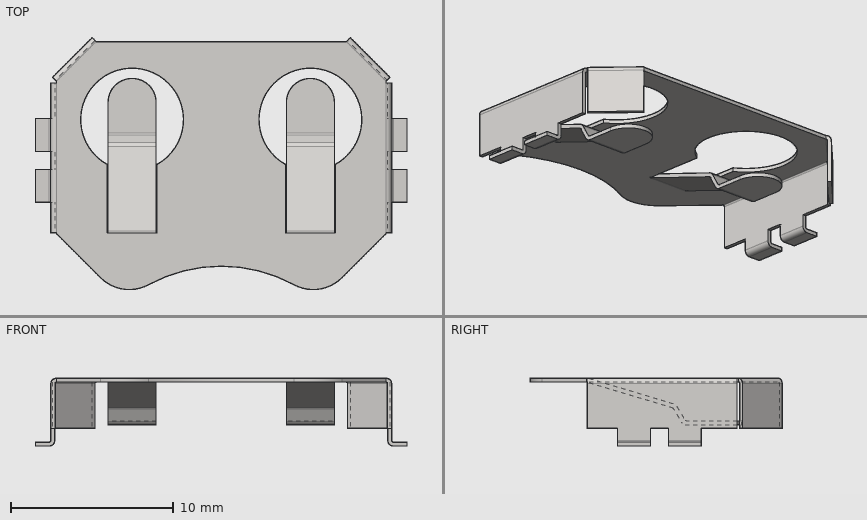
import cadquery as cq
import math

thickness = 0.25
bend_inner = 0.1
bend_outer = bend_inner + thickness

overall_length = 22.9
overall_height = 4.2
body_length = 21.02
plate_half = body_length / 2 - bend_outer

back_y = 4.8
bevel = 2.45
bevel_end_y = back_y - bevel
lobe_bottom_y = -10.49
lobe_radius = 2.5
hollow_radius = 9.37
hollow_top_y = -9.05

wall_depth = 3.1
wall_length = 9.25
wall_relief = 0.1
wall_back_y = bevel_end_y - wall_relief
wall_front_y = wall_back_y - wall_length
foot_width = 2.04
foot_gap = 1.1
first_foot_inset = 2.2

tongue_x = 5.5
hole_radius = 3.15
tongue_width = 2.98
slot_width = 3.05
slot_end_y = -6.98
tongue_bend_inner = 0.15
tongue_root_y = -6.95
tongue_crest = (-1.5, -1.63)
tongue_valley = (-0.92, -2.63)
tongue_tip_y = 2.55

anchor = 0.69


def bent_strip(plane, face, width, inner_radius):
    """Strip of sheet, centred on the plane, with one face along the points and metal on their right."""
    headings = [math.atan2(b[1] - a[1], b[0] - a[0]) for a, b in zip(face, face[1:])]
    arriving = headings[:1] + headings
    leaving = headings + headings[-1:]
    back = []
    for (u, v), before, after in zip(face, arriving, leaving):
        normal = (before + after) / 2 - math.pi / 2
        reach = thickness / math.cos((after - before) / 2)
        back.append((u + reach * math.cos(normal), v + reach * math.sin(normal)))

    strip = cq.Workplane(plane).polyline(face + back[::-1]).close().extrude(width / 2, both=True)
    for i in range(1, len(face) - 1):
        turns_right = leaving[i] < arriving[i]
        outside, inside = (face[i], back[i]) if turns_right else (back[i], face[i])
        for corner, radius in ((outside, inner_radius + thickness), (inside, inner_radius)):
            edge = cq.NearestToPointSelector(plane.toWorldCoords(corner).toTuple())
            strip = strip.edges(edge).fillet(radius)
    return strip


def upright_plane(x, y, outward):
    """Vertical plane whose local x runs along the outward direction and local y along Z."""
    direction = cq.Vector(*outward)
    return cq.Plane((x, y, 0), direction, direction.cross(cq.Vector(0, 0, 1)))


lobe_y = lobe_bottom_y + lobe_radius
hollow_y = hollow_top_y - hollow_radius
centre_distance = lobe_radius + hollow_radius
lobe_x = math.sqrt(centre_distance**2 - (lobe_y - hollow_y) ** 2)
side_tangent = lobe_radius * math.sqrt(0.5)
lobe_start = (lobe_x + side_tangent, lobe_y - side_tangent)
hollow_share = hollow_radius / centre_distance
lobe_end = (lobe_x * hollow_share, hollow_y + (lobe_y - hollow_y) * hollow_share)
side_front_y = lobe_start[1] + plate_half - lobe_start[0]


def mirrored(point):
    return (-point[0], point[1])


def make_plate():
    lobe_low = (lobe_x, lobe_bottom_y)
    return (
        cq.Workplane("XY")
        .moveTo(plate_half - bevel, back_y)
        .lineTo(plate_half, bevel_end_y)
        .lineTo(plate_half, side_front_y)
        .lineTo(*lobe_start)
        .threePointArc(lobe_low, lobe_end)
        .threePointArc((0, hollow_top_y), mirrored(lobe_end))
        .threePointArc(mirrored(lobe_low), mirrored(lobe_start))
        .lineTo(-plate_half, side_front_y)
        .lineTo(-plate_half, bevel_end_y)
        .lineTo(-plate_half + bevel, back_y)
        .close()
        .extrude(-thickness)
    )


def make_opening(x):
    hole = cq.Workplane("XY").center(x, 0).circle(hole_radius).extrude(-thickness)
    slot = (
        cq.Workplane("XY")
        .center(x, slot_end_y / 2)
        .rect(slot_width, -slot_end_y)
        .extrude(-thickness)
    )
    return hole.union(slot)


def make_tongue(x):
    tip_centre_y = tongue_tip_y - tongue_width / 2
    pad_z = tongue_valley[1]
    face = [
        (slot_end_y - anchor, 0),
        (tongue_root_y, 0),
        tongue_crest,
        tongue_valley,
        (tip_centre_y, pad_z),
    ]
    strip = bent_strip(upright_plane(x, 0, (0, 1, 0)), face, tongue_width, tongue_bend_inner)
    tip = (
        cq.Workplane("XY", origin=(x, tip_centre_y, pad_z))
        .circle(tongue_width / 2)
        .extrude(-thickness)
    )
    return strip.union(tip)


wall_face = [(-anchor, 0), (bend_outer, 0), (bend_outer, -wall_depth)]


def make_side_wall(side):
    y = (wall_back_y + wall_front_y) / 2
    plane = upright_plane(side * plate_half, y, (side, 0, 0))
    return bent_strip(plane, wall_face, wall_length, bend_inner)


def make_corner_wall(side):
    plane = upright_plane(side * (plate_half - bevel / 2), back_y - bevel / 2, (side, 1, 0))
    return bent_strip(plane, wall_face, bevel * math.sqrt(2), bend_inner)


def make_foot(side, y):
    foot_top_z = thickness - overall_height
    face = [
        (-anchor, 0),
        (bend_outer, 0),
        (bend_outer, foot_top_z),
        (overall_length / 2 - plate_half, foot_top_z),
    ]
    return bent_strip(upright_plane(side * plate_half, y, (side, 0, 0)), face, foot_width, bend_inner)


result = make_plate()
first_foot_y = wall_back_y - first_foot_inset - foot_width / 2
for side in (-1, 1):
    result = result.cut(make_opening(side * tongue_x)).union(make_tongue(side * tongue_x))
    result = result.union(make_side_wall(side)).union(make_corner_wall(side))
    for foot_y in (first_foot_y, first_foot_y - foot_width - foot_gap):
        result = result.union(make_foot(side, foot_y))